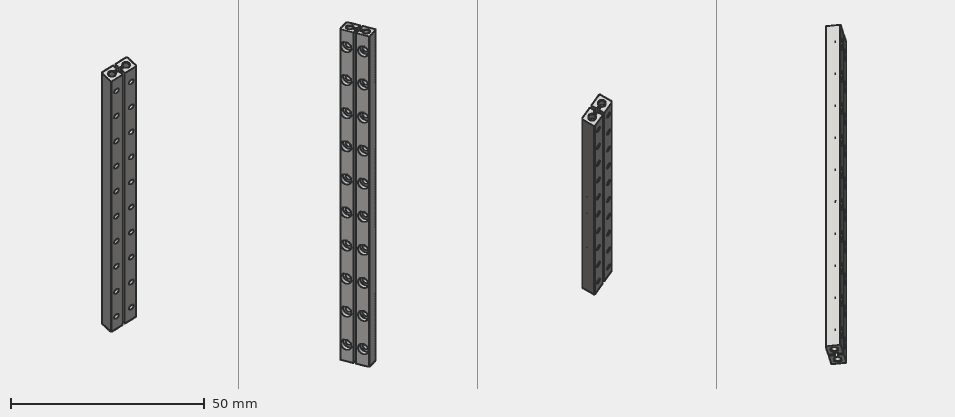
import cadquery as cq
import math

length = 100.0
thickness = 4.0
pair_width = 8.5

rail_width = 3.9
edge_chamfer = 0.2
groove_angle = 90.0
groove_mouth = 1.4
relief_width = 0.7
relief_depth = 0.3

hole_diameter = 1.6
counterbore_diameter = 3.0
counterbore_depth = 1.4
hole_count = 10
hole_pitch = length / hole_count
hole_edge_distance = 1.8

end_hole_diameter = 1.7
end_hole_edge_distance = 1.9
end_hole_depth = 2.5
end_countersink_diameter = 2.1
drill_tip_angle = 118.0

half_thickness = thickness / 2
outer_face = pair_width / 2
inner_face = outer_face - rail_width
hole_line = outer_face - hole_edge_distance
end_hole_line = outer_face - end_hole_edge_distance
groove_slope = math.tan(math.radians(groove_angle / 2))
relief_start = inner_face + (groove_mouth - relief_width) / 2 / groove_slope
relief_end = relief_start + relief_depth


def make_bar():
    """Plain bar on the +Y side, with its long outer edges chamfered."""
    bar = cq.Workplane("XY").box(thickness, rail_width, length)
    bar = bar.faces(">Y").edges("|Z").chamfer(edge_chamfer)
    return bar.translate((0, inner_face + rail_width / 2, 0))


def make_groove():
    """V-groove along the inner face, with a narrow relief slot at its root."""
    half_mouth = groove_mouth / 2
    half_relief = relief_width / 2
    outline = [
        (-half_mouth, inner_face),
        (-half_relief, relief_start),
        (-half_relief, relief_end),
        (half_relief, relief_end),
        (half_relief, relief_start),
        (half_mouth, inner_face),
    ]
    return cq.Workplane("XY").polyline(outline).close().extrude(length / 2, both=True)


def make_mounting_hole(z):
    """Through hole along X, counterbored from the -X face."""
    face = cq.Workplane("YZ", origin=(-half_thickness, hole_line, z))
    through_hole = face.circle(hole_diameter / 2).extrude(thickness)
    counterbore = face.circle(counterbore_diameter / 2).extrude(counterbore_depth)
    return through_hole.union(counterbore)


def make_end_hole():
    """Blind hole in the top end: 90 degree countersink, straight bore and conical drill tip."""
    radius = end_hole_diameter / 2
    mouth_radius = end_countersink_diameter / 2
    countersink_depth = mouth_radius - radius
    end_face = length / 2
    bore_bottom = end_face - end_hole_depth
    tip = bore_bottom - radius / math.tan(math.radians(drill_tip_angle / 2))
    half_section = [
        (0, end_face),
        (mouth_radius, end_face),
        (radius, end_face - countersink_depth),
        (radius, bore_bottom),
        (0, tip),
    ]
    hole = cq.Workplane("XZ").polyline(half_section).close().revolve(360, (0, 0), (0, 1))
    return hole.translate((0, end_hole_line, 0))


def make_rail():
    """Complete rail on the +Y side."""
    rail = make_bar().cut(make_groove())
    for index in range(hole_count):
        z = (index - (hole_count - 1) / 2) * hole_pitch
        rail = rail.cut(make_mounting_hole(z))
    end_hole = make_end_hole()
    return rail.cut(end_hole).cut(end_hole.mirror("XY"))


rails = []
for mirrored in (False, True):
    rail = make_rail()
    if mirrored:
        rail = rail.mirror("XZ")
    rails.append(rail.val())

result = cq.Compound.makeCompound(rails)